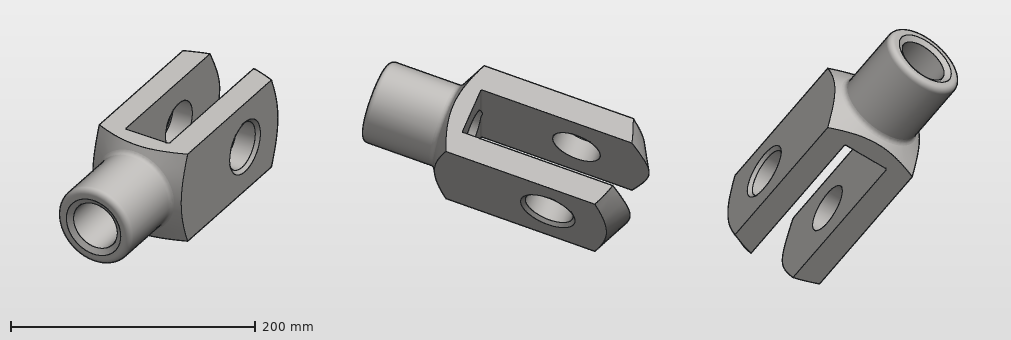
import cadquery as cq
import math

length = 232.0
body_width = 85.0
slot_width = 42.0
slot_floor_y = 84.0
slot_corner_radius = 1.5

neck_diameter = 70.0
neck_end_radius = 5.0
neck_root_radius = 5.0
shoulder_y = 68.0
cone_angle = 30.0

bore_diameter = 42.0
bore_chamfer = 5.0
pin_diameter = 42.0
pin_chamfer = 3.0
pin_y = 168.0

cone_slope = math.tan(math.radians(cone_angle))
half_width = body_width / 2
neck_radius = neck_diameter / 2
outer_radius = body_width


def turned_envelope():
    """Solid of revolution giving the neck and the conical ends of the square body."""
    neck_top_y = shoulder_y - (half_width - neck_radius) * cone_slope
    shoulder_rim_y = shoulder_y + (outer_radius - half_width) * cone_slope
    tip_apex_y = length + slot_width / 2 * cone_slope
    tip_rim_y = tip_apex_y - outer_radius * cone_slope
    profile = (
        cq.Workplane("XY")
        .lineTo(neck_radius, 0)
        .lineTo(neck_radius, neck_top_y)
        .lineTo(outer_radius, shoulder_rim_y)
        .lineTo(outer_radius, tip_rim_y)
        .lineTo(0, tip_apex_y)
        .close()
    )
    turned = profile.revolve(360, (0, 0, 0), (0, 1, 0))
    root_edge = cq.selectors.BoxSelector(
        (-neck_radius, neck_top_y - 0.2, -neck_radius),
        (neck_radius, neck_top_y + 0.2, neck_radius),
    )
    turned = turned.edges(root_edge).fillet(neck_root_radius)
    return turned.faces("<Y").edges().fillet(neck_end_radius)


def square_bar():
    bar_length = 2 * length
    return cq.Workplane("XY").box(body_width, bar_length, body_width)


def fork_slot():
    slot_length = length
    slot = cq.Workplane("XY").box(slot_width, slot_length, body_width)
    slot = slot.translate((0, slot_floor_y + slot_length / 2, 0))
    return slot.faces("<Y").edges("|Z").fillet(slot_corner_radius)


def axial_bore():
    """Bore from the neck face into the slot, with a shallow conical lead-in."""
    radius = bore_diameter / 2
    return (
        cq.Workplane("XY")
        .lineTo(radius + bore_chamfer, 0)
        .lineTo(radius, bore_chamfer * cone_slope)
        .lineTo(radius, slot_floor_y + slot_corner_radius)
        .lineTo(0, slot_floor_y + slot_corner_radius)
        .close()
        .revolve(360, (0, 0, 0), (0, 1, 0))
    )


def pin_hole():
    """Cross hole through both arms, chamfered at the outer faces."""
    radius = pin_diameter / 2
    chamfer_start_x = half_width - pin_chamfer
    rim_radius = radius + pin_chamfer
    hole = (
        cq.Workplane("XY")
        .moveTo(-half_width, 0)
        .lineTo(-half_width, rim_radius)
        .lineTo(-chamfer_start_x, radius)
        .lineTo(chamfer_start_x, radius)
        .lineTo(half_width, rim_radius)
        .lineTo(half_width, 0)
        .close()
        .revolve(360, (0, 0, 0), (1, 0, 0))
    )
    return hole.translate((0, pin_y, 0))


body = turned_envelope().intersect(square_bar())
result = body.cut(fork_slot()).cut(axial_bore()).cut(pin_hole())